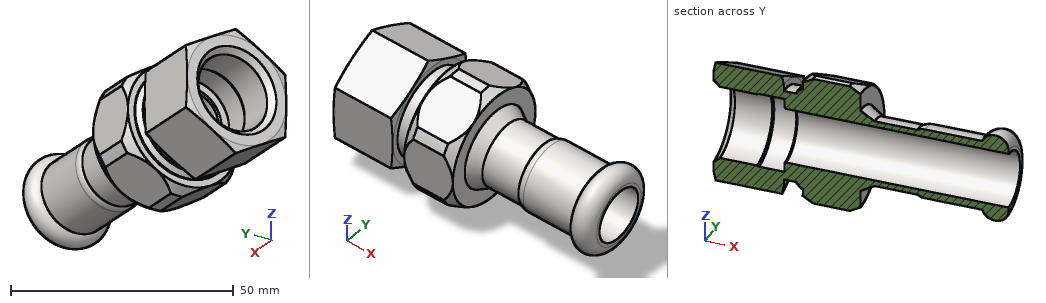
import cadquery as cq
import math

TOTAL_LENGTH = 71.2

SOCKET_HEX_END = 17.0
SOCKET_HEX_FLATS = 27.0
SOCKET_FACE_DIAMETER = 26.8
SOCKET_CHAMFER_ANGLE = 12.0

NECK_DIAMETER = 23.5
COLLAR_START = 20.0
COLLAR_START_DIAMETER = 24.0
COLLAR_DIAMETER = 26.4
COLLAR_CHAMFER_END = 21.2

NUT_START = 21.5
NUT_END = 35.45
NUT_FLATS = 30.0
NUT_CORNER_DIAMETER = 33.0
NUT_CHAMFER_ANGLE = 60.0

CONE_START_DIAMETER = 21.35
CONE_END = 38.9
TUBE_DIAMETER = 17.2
STEP_START = 49.2
STEP_END = 51.05
PRESS_DIAMETER = 18.3
BEAD_DIAMETER = 22.65
BEAD_WIDTH = 6.6

MOUTH_DIAMETER = 21.5
MOUTH_DEPTH = 1.6
THREAD_DIAMETER = 18.65
THREAD_DEPTH = 10.55
RELIEF_DIAMETER = 19.1
RELIEF_TAPER = 0.4
RELIEF_END = 17.1
SEAT_DIAMETER = 14.9
SEAT_DEPTH = 0.4
BORE_DIAMETER = 14.0


def revolve_about_x(profile):
    """Revolve a closed (X, radius) profile about the X axis."""
    return profile.close().revolve(360, (0, 0, 0), (1, 0, 0))


def chamfered_hexagon(start, end, flats, face_diameter, crown_diameter, angle):
    """Hexagonal bar with corners up and down, cut to a cylinder with conical ends.

    The angle of the cones is measured from the end planes.
    """
    corner_diameter = flats / math.cos(math.pi / 6)
    bar = (
        cq.Workplane("YZ", origin=(start, 0, 0))
        .polygon(6, corner_diameter)
        .extrude(end - start)
        .rotate((0, 0, 0), (1, 0, 0), 90)
    )
    face_radius = face_diameter / 2
    crown_radius = crown_diameter / 2
    chamfer = (crown_radius - face_radius) * math.tan(math.radians(angle))
    envelope = revolve_about_x(
        cq.Workplane("XY")
        .moveTo(start, 0)
        .lineTo(start, face_radius)
        .lineTo(start + chamfer, crown_radius)
        .lineTo(end - chamfer, crown_radius)
        .lineTo(end, face_radius)
        .lineTo(end, 0)
    )
    return bar.intersect(envelope)


def turned_body():
    """Neck, collar, cone, stepped tube and rounded press bead."""
    bead_radius = BEAD_WIDTH / 2
    bead_center_x = TOTAL_LENGTH - bead_radius
    bead_center_radius = BEAD_DIAMETER / 2 - bead_radius
    press_radius = PRESS_DIAMETER / 2
    bead_start = bead_center_x - math.sqrt(bead_radius**2 - (press_radius - bead_center_radius) ** 2)

    step_length = STEP_END - STEP_START
    step_rise = (PRESS_DIAMETER - TUBE_DIAMETER) / 2
    step_radius = (step_length**2 + step_rise**2) / (2 * step_rise)
    step_mid_x = STEP_END - step_length / 2
    step_mid_drop = step_radius - math.sqrt(step_radius**2 - (step_length / 2) ** 2)

    return revolve_about_x(
        cq.Workplane("XY")
        .moveTo(SOCKET_HEX_END, 0)
        .lineTo(SOCKET_HEX_END, NECK_DIAMETER / 2)
        .lineTo(COLLAR_START, NECK_DIAMETER / 2)
        .lineTo(COLLAR_START, COLLAR_START_DIAMETER / 2)
        .lineTo(COLLAR_CHAMFER_END, COLLAR_DIAMETER / 2)
        .lineTo(NUT_END, COLLAR_DIAMETER / 2)
        .lineTo(NUT_END, CONE_START_DIAMETER / 2)
        .lineTo(CONE_END, TUBE_DIAMETER / 2)
        .lineTo(STEP_START, TUBE_DIAMETER / 2)
        .threePointArc((step_mid_x, press_radius - step_mid_drop), (STEP_END, press_radius))
        .lineTo(bead_start, press_radius)
        .threePointArc((bead_center_x, BEAD_DIAMETER / 2), (TOTAL_LENGTH, bead_center_radius))
        .lineTo(TOTAL_LENGTH, 0)
    )


def bore():
    """Countersunk thread bore, wider relief behind the thread, conical seat and through passage."""
    return revolve_about_x(
        cq.Workplane("XY")
        .moveTo(0, 0)
        .lineTo(0, MOUTH_DIAMETER / 2)
        .lineTo(MOUTH_DEPTH, THREAD_DIAMETER / 2)
        .lineTo(THREAD_DEPTH, THREAD_DIAMETER / 2)
        .lineTo(THREAD_DEPTH + RELIEF_TAPER, RELIEF_DIAMETER / 2)
        .lineTo(RELIEF_END, RELIEF_DIAMETER / 2)
        .lineTo(RELIEF_END, SEAT_DIAMETER / 2)
        .lineTo(RELIEF_END + SEAT_DEPTH, BORE_DIAMETER / 2)
        .lineTo(TOTAL_LENGTH, BORE_DIAMETER / 2)
        .lineTo(TOTAL_LENGTH, 0)
    )


socket_hexagon = chamfered_hexagon(
    0,
    SOCKET_HEX_END,
    SOCKET_HEX_FLATS,
    SOCKET_FACE_DIAMETER,
    SOCKET_HEX_FLATS / math.cos(math.pi / 6),
    SOCKET_CHAMFER_ANGLE,
)
union_nut = chamfered_hexagon(
    NUT_START, NUT_END, NUT_FLATS, NUT_FLATS, NUT_CORNER_DIAMETER, NUT_CHAMFER_ANGLE
)

result = turned_body().union(socket_hexagon).union(union_nut).cut(bore())